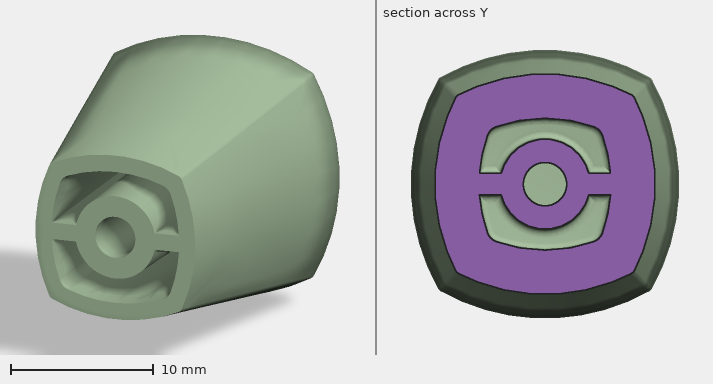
import cadquery as cq

length = 20.0
open_half_width = 5.975
open_side_radius = 11.5
side_draft = 10.0
corner_radius = 0.5
back_edge_radius = 0.5

wall = 1.2
boss_radius = 3.0
bore_radius = 1.5
rib_width = 1.2
pocket_draft = 1.0
pocket_corner_radius = 1.0
pocket_floor_radius = 0.4

floor_depth = 14.0
floor_bowl_radius = 30.0

tolerance = 0.001

side_axis_offset = open_side_radius - open_half_width


def open_end():
    """Workplane on the open end; a negative extrusion from it runs into the knob, along +Y."""
    return cq.Workplane("XZ")


def bulging_square(side_radius, taper):
    """Block with four conical sides, each bulging with side_radius at the open end."""
    x_axis_offsets = (side_axis_offset, -side_axis_offset, 0, 0)
    z_axis_offsets = (0, 0, side_axis_offset, -side_axis_offset)
    cones = [
        open_end().center(x, z).circle(side_radius).extrude(-length, taper=taper)
        for x, z in zip(x_axis_offsets, z_axis_offsets)
    ]
    block = cones[0]
    for cone in cones[1:]:
        block = block.intersect(cone)
    return block


def floor_bowl():
    """Ball whose far side is the floor of the bore and the pockets."""
    bowl_centre_y = floor_depth - floor_bowl_radius
    return open_end().sphere(floor_bowl_radius).translate((0, bowl_centre_y, 0))


def nearest_end(edge):
    """Distance from the open end to the closer end of an edge."""
    return min(edge.startPoint().y, edge.endPoint().y)


def rises_from_open_end(edge):
    """True for an edge that starts on the open end and runs inward."""
    return nearest_end(edge) < tolerance < edge.Center().y


def lies_on_floor(edge):
    """True for an edge whose two ends are both deep inside the knob."""
    return nearest_end(edge) > floor_depth / 2


def make_body():
    body = bulging_square(open_side_radius, -side_draft)
    body = body.edges().filter(rises_from_open_end).fillet(corner_radius)
    return body.faces(">Y").edges().fillet(back_edge_radius)


def make_upper_pocket():
    """Space above the rib, between the boss and the outer wall, narrowing towards its floor."""
    cavity = bulging_square(open_side_radius - wall, pocket_draft)
    cavity = cavity.edges().filter(rises_from_open_end).fillet(pocket_corner_radius)
    cavity = cavity.intersect(floor_bowl())
    boss = open_end().circle(boss_radius).extrude(-length, taper=-pocket_draft)
    rib = open_end().rect(2 * open_half_width, rib_width).extrude(-length, taper=-pocket_draft)
    pockets = cavity.cut(boss).cut(rib)
    upper_pocket = cq.Workplane(pockets.solids(">Z").val())
    return upper_pocket.edges().filter(lies_on_floor).fillet(pocket_floor_radius)


def make_bore():
    return open_end().circle(bore_radius).extrude(-length).intersect(floor_bowl())


upper_pocket = make_upper_pocket()
lower_pocket = upper_pocket.mirror("XY")
result = make_body().cut(upper_pocket).cut(lower_pocket).cut(make_bore())